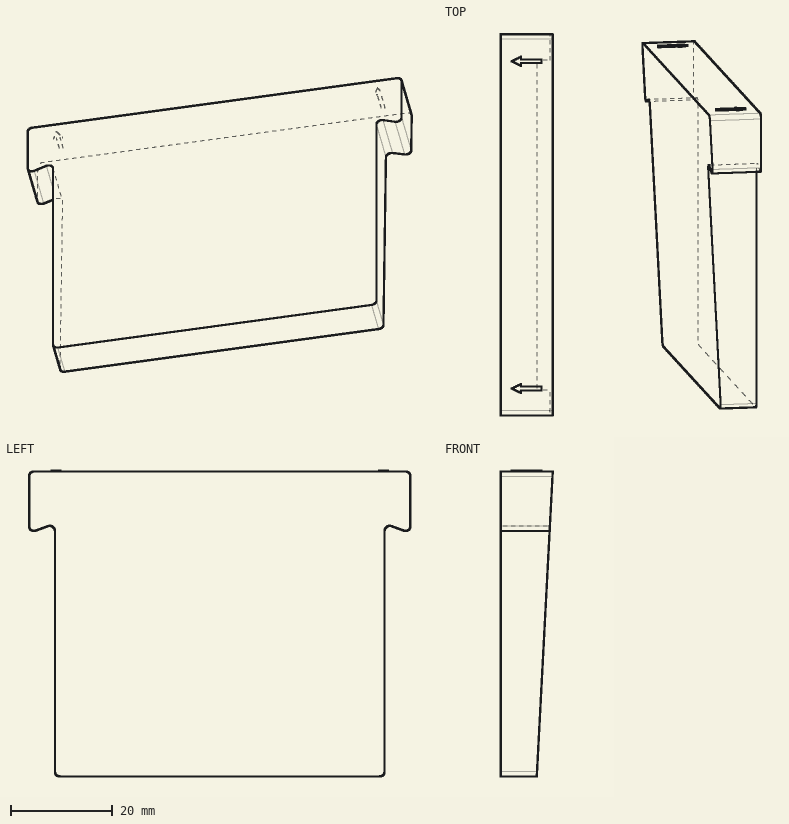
import cadquery as cq
import math

head_width = 75.0
blade_width = 64.9
body_height = 60.0
top_thickness = 10.3
taper_angle = 3.0

hook_tip_depth = 12.15
hook_angle = 20.0
corner_radius = 1.0

arrow_height = 0.2
arrow_tip_x = 2.2
arrow_length = 5.85
arrow_head_length = 1.9
arrow_head_width = 1.8
arrow_shaft_width = 0.75
arrow_end_distance = 5.3

bottom_thickness = top_thickness - body_height * math.tan(math.radians(taper_angle))
overhang = (head_width - blade_width) / 2
hook_rise = overhang * math.tan(math.radians(hook_angle))
hook_tip_z = body_height - hook_tip_depth
hook_root_z = hook_tip_z + hook_rise
arrow_offset = head_width / 2 - arrow_end_distance


def t_plate():
    """T-shaped plate with hooked overhangs and every profile corner rounded."""
    half_head = head_width / 2
    half_blade = blade_width / 2
    right_side = [
        (half_blade, 0),
        (half_blade, hook_root_z),
        (half_head, hook_tip_z),
        (half_head, body_height),
    ]
    left_side = [(-y, z) for y, z in reversed(right_side)]
    plate = cq.Workplane("YZ").polyline(right_side + left_side).close().extrude(top_thickness)
    return plate.edges("|X").fillet(corner_radius)


def taper_envelope():
    """Wedge across the full width that thins the plate towards the bottom."""
    section = [
        (0, 0),
        (bottom_thickness, 0),
        (top_thickness, body_height),
        (0, body_height),
    ]
    return cq.Workplane("XZ").polyline(section).close().extrude(head_width / 2, both=True)


def arrow(center_y):
    """Raised arrow on the top face."""
    neck_x = arrow_tip_x + arrow_head_length
    tail_x = arrow_tip_x + arrow_length
    half_head = arrow_head_width / 2
    half_shaft = arrow_shaft_width / 2
    outline = [
        (arrow_tip_x, 0),
        (neck_x, half_head),
        (neck_x, half_shaft),
        (tail_x, half_shaft),
        (tail_x, -half_shaft),
        (neck_x, -half_shaft),
        (neck_x, -half_head),
    ]
    top_face = cq.Workplane("XY", origin=(0, center_y, body_height))
    return top_face.polyline(outline).close().extrude(arrow_height)


result = t_plate().intersect(taper_envelope())
for center_y in (-arrow_offset, arrow_offset):
    result = result.union(arrow(center_y))